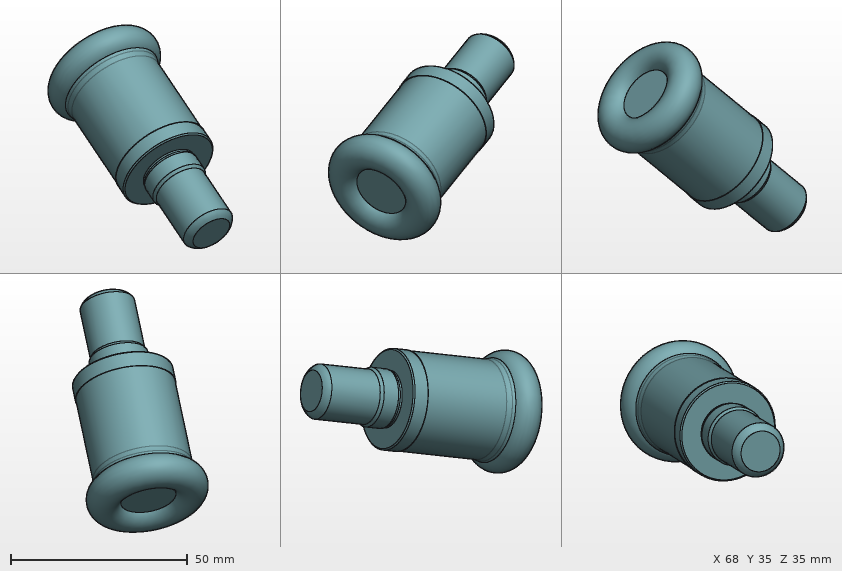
import cadquery as cq
import math

TOTAL_LENGTH = 68.0

RING_OUTER_RADIUS = 17.5
RING_SECTION_RADIUS = 4.95
RING_CENTRE_X = RING_SECTION_RADIUS
RING_CENTRE_RADIUS = RING_OUTER_RADIUS - RING_SECTION_RADIUS

NOSE_X = 3.05
LIP_X = 9.3
FLARE_X = 10.3
FLARE_RADIUS = 14.6
GRIP_START_X = 12.0
GRIP_RADIUS = 28.6 / 2

FLANGE_START_X = 38.1
FLANGE_END_X = 42.9
FLANGE_RADIUS = 29.0 / 2
FLANGE_CHAMFER = 0.4

UNDERCUT_RADIUS = 8.2
UNDERCUT_END_X = 43.5
COLLAR_RADIUS = 17.0 / 2
COLLAR_START_X = 44.3
COLLAR_END_X = 49.0
SHANK_RADIUS = 15.8 / 2
SHANK_START_X = 50.0
TIP_LENGTH = 2.0
TIP_END_RADIUS = 5.9
TIP_CROWN_RADIUS = 4.1


def ring_half_height(x):
    """Half height of the ring's circular section at a given X."""
    return math.sqrt(RING_SECTION_RADIUS**2 - (x - RING_CENTRE_X) ** 2)


def make_ring():
    section = (
        cq.Workplane("XY")
        .center(RING_CENTRE_X, RING_CENTRE_RADIUS)
        .circle(RING_SECTION_RADIUS)
    )
    axis_y = -RING_CENTRE_RADIUS
    return section.revolve(360, (0, axis_y, 0), (1, axis_y, 0))


def make_body():
    nose_radius = RING_CENTRE_RADIUS - ring_half_height(NOSE_X)
    lip_radius = RING_CENTRE_RADIUS + ring_half_height(LIP_X)
    seat_bottom_radius = RING_CENTRE_RADIUS - RING_SECTION_RADIUS
    profile = (
        cq.Workplane("XY")
        .moveTo(NOSE_X, 0)
        .lineTo(NOSE_X, nose_radius)
        .threePointArc((RING_CENTRE_X, seat_bottom_radius), (LIP_X, lip_radius))
        .lineTo(FLARE_X, FLARE_RADIUS)
        .tangentArcPoint((GRIP_START_X, GRIP_RADIUS), relative=False)
        .lineTo(FLANGE_START_X, GRIP_RADIUS)
        .lineTo(FLANGE_START_X, FLANGE_RADIUS)
        .lineTo(FLANGE_END_X - FLANGE_CHAMFER, FLANGE_RADIUS)
        .lineTo(FLANGE_END_X, FLANGE_RADIUS - FLANGE_CHAMFER)
        .lineTo(FLANGE_END_X, UNDERCUT_RADIUS)
        .lineTo(UNDERCUT_END_X, UNDERCUT_RADIUS)
        .lineTo(COLLAR_START_X, COLLAR_RADIUS)
        .lineTo(COLLAR_END_X, COLLAR_RADIUS)
        .lineTo(SHANK_START_X, SHANK_RADIUS)
        .lineTo(TOTAL_LENGTH - TIP_LENGTH, SHANK_RADIUS)
        .radiusArc((TOTAL_LENGTH, TIP_END_RADIUS), TIP_CROWN_RADIUS)
        .lineTo(TOTAL_LENGTH, 0)
        .close()
    )
    return profile.revolve(360, (0, 0, 0), (1, 0, 0))


ring = make_ring()
body = make_body()

result = cq.Compound.makeCompound([ring.val(), body.val()])